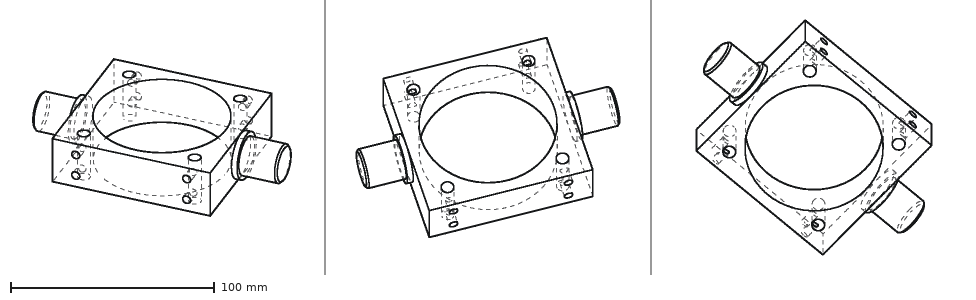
import cadquery as cq

total_length = 130.0
body_length = 84.0
body_width = 80.0
body_height = 25.0
bore_diameter = 68.0

flange_span = 90.0
flange_diameter = 24.6
pin_diameter = 20.0
pin_chamfer = 1.0

hole_spacing = 59.0
corner_hole_diameter = 6.2
side_hole_diameter = 4.2
side_hole_spacing_z = 12.0
side_hole_depth = (body_width - hole_spacing) / 2


def make_body():
    """Rectangular block with a central bore and four corner holes."""
    return (
        cq.Workplane("XY")
        .box(body_length, body_width, body_height)
        .faces(">Z").workplane()
        .hole(bore_diameter)
        .faces(">Z").workplane()
        .rect(hole_spacing, hole_spacing, forConstruction=True)
        .vertices()
        .hole(corner_hole_diameter)
    )


def make_trunnion():
    """Flange and chamfered pin on the +X side."""
    flange_thickness = (flange_span - body_length) / 2
    pin_length = (total_length - flange_span) / 2
    flange = (
        cq.Workplane("YZ", origin=(body_length / 2, 0, 0))
        .circle(flange_diameter / 2)
        .extrude(flange_thickness)
    )
    pin = (
        cq.Workplane("YZ", origin=(flange_span / 2, 0, 0))
        .circle(pin_diameter / 2)
        .extrude(pin_length)
        .faces(">X").chamfer(pin_chamfer)
    )
    return flange.union(pin)


def make_side_holes():
    """Four holes from the -Y face, ending at the corner hole axes."""
    return (
        cq.Workplane("XZ", origin=(0, -body_width / 2, 0))
        .rect(hole_spacing, side_hole_spacing_z, forConstruction=True)
        .vertices()
        .circle(side_hole_diameter / 2)
        .extrude(-side_hole_depth)
    )


trunnion = make_trunnion()
side_holes = make_side_holes()

result = (
    make_body()
    .union(trunnion)
    .union(trunnion.mirror("YZ"))
    .cut(side_holes)
    .cut(side_holes.mirror("XZ"))
)